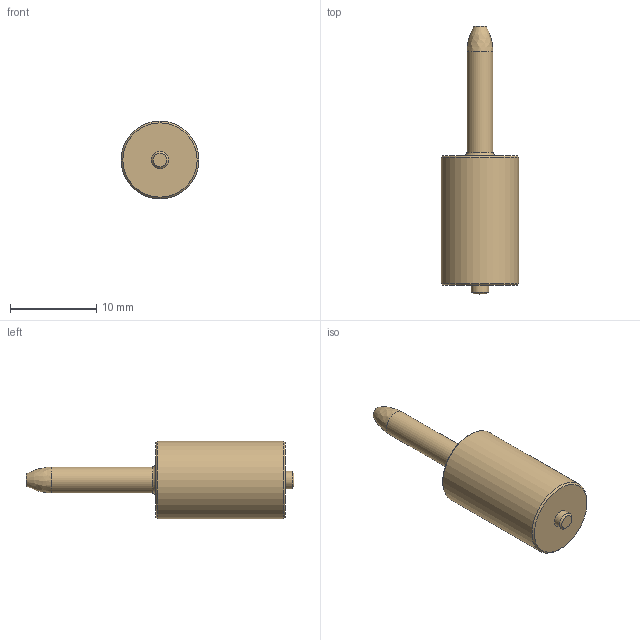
import cadquery as cq
import math

BODY_RADIUS = 4.5
BODY_LENGTH = 15.0
BODY_CHAMFER = 0.2

STUB_RADIUS = 1.0
STUB_LENGTH = 1.0
STUB_CHAMFER = 0.2

PIN_RADIUS = 1.5
PIN_LENGTH = 15.0
PIN_ROOT_FILLET = 0.4

NOSE_LENGTH = 3.0
NOSE_ARC_RADIUS = 6.0

NOSE_DROP = NOSE_ARC_RADIUS - math.sqrt(NOSE_ARC_RADIUS**2 - NOSE_LENGTH**2)

BODY_END = BODY_LENGTH
PIN_END = BODY_END + PIN_LENGTH
NOSE_START = PIN_END - NOSE_LENGTH


def make_body():
    """Chamfered cylinder from Y = 0 to the pin shoulder."""
    body = cq.Workplane("XZ").circle(BODY_RADIUS).extrude(-BODY_LENGTH)
    return body.edges().chamfer(BODY_CHAMFER)


def make_stub():
    """Short round stub in front of the body, chamfered at its free end."""
    stub = cq.Workplane("XZ").circle(STUB_RADIUS).extrude(STUB_LENGTH)
    return stub.faces("<Y").edges().chamfer(STUB_CHAMFER)


def make_pin():
    """Round pin with a filleted root and a curved nose, revolved about Y."""
    root_radius = PIN_RADIUS + PIN_ROOT_FILLET
    profile = (
        cq.Workplane("XY")
        .moveTo(0, BODY_END)
        .lineTo(root_radius, BODY_END)
        .radiusArc((PIN_RADIUS, BODY_END + PIN_ROOT_FILLET), PIN_ROOT_FILLET)
        .lineTo(PIN_RADIUS, NOSE_START)
        .tangentArcPoint((-NOSE_DROP, NOSE_LENGTH))
        .lineTo(0, PIN_END)
        .close()
    )
    return profile.revolve(360, (0, 0, 0), (0, 1, 0))


result = make_body().union(make_stub()).union(make_pin())